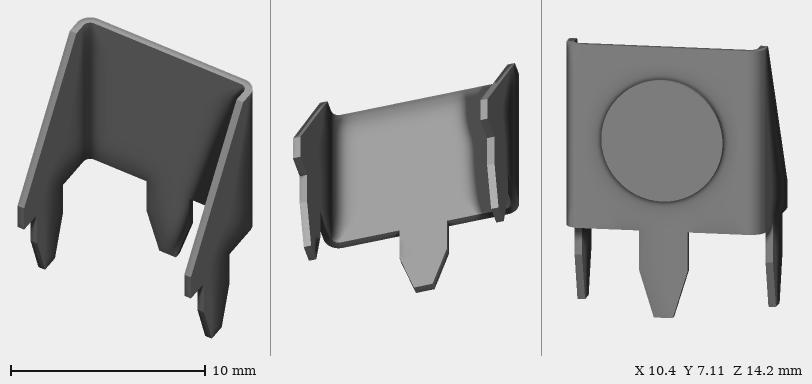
import cadquery as cq

width = 10.41
height = 14.22
depth = 7.11
sheet = 0.4
bend_inner_radius = 0.4
bend_outer_radius = bend_inner_radius + sheet

pad_diameter = 6.35
pad_thickness = 0.37

body_bottom = 4.55
body_middle = (body_bottom + height) / 2
nose_top = 6.06
top_flat_front = 5.23

pin_width = 2.56
pin_tip_width = 1.0
pin_taper_start = 2.5
side_pin_center = 2.59

wall_back = depth - pad_thickness
wall_front = wall_back - sheet


def make_channel():
    """U-shaped channel, open to the front, with rounded bends."""
    outer = (
        cq.Workplane("XY")
        .workplane(offset=body_bottom)
        .center(0, wall_back / 2)
        .rect(width, wall_back)
        .extrude(height - body_bottom)
        .edges("|Z and >Y")
        .fillet(bend_outer_radius)
    )
    inner = (
        cq.Workplane("XY")
        .workplane(offset=body_bottom)
        .center(0, wall_front / 2)
        .rect(width - 2 * sheet, wall_front)
        .extrude(height - body_bottom)
        .edges("|Z and >Y")
        .fillet(bend_inner_radius)
    )
    return outer.cut(inner)


def make_slope_cutter():
    """Wedge that slopes the front edges of both side walls."""
    return (
        cq.Workplane("YZ")
        .polyline([(0, nose_top), (top_flat_front, height), (0, height)])
        .close()
        .extrude(width / 2, both=True)
    )


def make_pin(plane, center):
    """Tapered pin, one sheet thick, extruded along the plane's normal."""
    half_width = pin_width / 2
    half_tip = pin_tip_width / 2
    return (
        cq.Workplane(plane)
        .polyline([
            (center - half_width, body_bottom),
            (center - half_width, pin_taper_start),
            (center - half_tip, 0),
            (center + half_tip, 0),
            (center + half_width, pin_taper_start),
            (center + half_width, body_bottom),
        ])
        .close()
        .extrude(sheet)
    )


def make_pad():
    """Round pad standing on the back face of the wall."""
    return (
        cq.Workplane("XZ", origin=(0, wall_back, body_middle))
        .circle(pad_diameter / 2)
        .extrude(-pad_thickness)
    )


result = make_channel().cut(make_slope_cutter())

for wall_left in (-width / 2, width / 2 - sheet):
    side_pin = make_pin("YZ", side_pin_center)
    result = result.union(side_pin.translate((wall_left, 0, 0)))

back_pin = make_pin("XZ", 0)
result = result.union(back_pin.translate((0, wall_back, 0)))

result = result.union(make_pad())